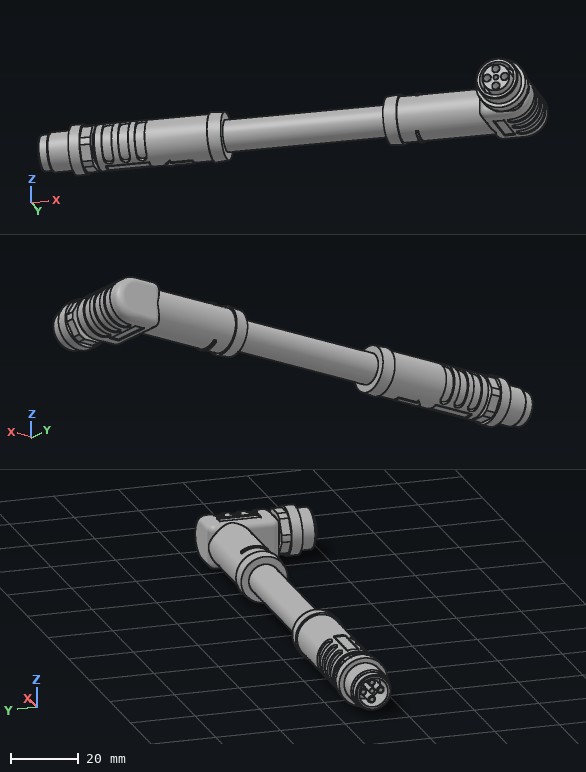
import cadquery as cq
import math


TOTAL_LENGTH = 153.5
TOTAL_WIDTH = 35.2
FLANGE_D = 15.0
NUT_D = 14.0
NUT_FLATS = 13.0
NECK_D = 9.7
CABLE_D = 9.7
MALE_SLEEVE_D = 14.0
FEMALE_SLEEVE_D = 13.8
EMBOSS_HEIGHT = 0.38

TIP_LENGTH = 2.8
THREAD_END = 9.8
MALE_FLANGE_END = 13.2
MALE_NUT_END = 16.5
MALE_SLEEVE_START = 17.3
MALE_COLLAR_START = 52.2
MALE_COLLAR_END = 56.3
TIP_D = 10.9
TIP_CHAMFER = 0.3
THREAD_CHAMFER = 0.5
MALE_THREAD_D = 12.0
MALE_BORE_D = 8.9
MALE_BORE_DEPTH = 7.7

CONTACT_RADIUS = 2.69
CENTRE_CONTACT_D = 1.5
PIN_D = 2.1
PIN_CHAMFER = 0.3
PIN_SETBACK = 1.5
SOCKET_D = 2.3
SOCKET_DEPTH = 4.6

COLLAR_D = 15.0
COLLAR_TAPER = 0.3

GRIP_WIDTH = 3.0
GRIP_PITCH = 5.0
GRIP_COUNT = 3
RECESS_DEPTH = 0.6
HOUSING_GRIP_DEPTH = 0.5
LABEL_DEPTH = 0.5
MALE_GRIP_START = 19.8
MALE_GRIP_TIP_Y = 2.9
MALE_LABEL_LENGTH = 13.2
MALE_LABEL_WIDTH = 3.5

FEMALE_X = TOTAL_LENGTH - FLANGE_D / 2
FEMALE_COLLAR_START = 105.9
FEMALE_COLLAR_END = 110.0
HOUSING_HALF = 7.0
HOUSING_LEFT = 137.0
HOUSING_BACK_Y = 7.0
HOUSING_FRONT_Y = -15.0
HOUSING_FILLET = 2.3
HOUSING_GRIP_TIP_X = 144.6
HOUSING_GRIP_FIRST_Y = 1.2
HOUSING_LABEL_LEFT = 140.5
HOUSING_LABEL_WIDTH = 3.2
HOUSING_LABEL_BACK_Y = 2.8
HOUSING_LABEL_LENGTH = 12.7

FEMALE_NUT_START = -16.0
FEMALE_FLANGE_START = -18.9
FEMALE_FLANGE_END = -22.3
FEMALE_RIM_END = -26.7
FEMALE_END = FLANGE_D / 2 - TOTAL_WIDTH
FEMALE_RIM_D = 12.7
FEMALE_BORE_D = 10.5
FEMALE_BORE_END = -21.5
INSERT_D = 8.3
RIM_CHAMFER = 0.3

BAND_X = 115.1
BAND_LENGTH = 0.8
BAND_WIDTH = 8.3
ARROW_TIP_X = 37.5
ARROW_END_X = 46.0
ARROW_HEAD_LENGTH = 2.0
ARROW_HALF_WIDTH = 2.0


def cylinder_x(start, end, diameter):
    return cq.Workplane("YZ", origin=(start, 0, 0)).circle(diameter / 2).extrude(end - start)


def cylinder_y(start, end, diameter, x=FEMALE_X, z=0):
    """Cylinder running from Y = start down to Y = end."""
    return cq.Workplane("XZ", origin=(x, start, z)).circle(diameter / 2).extrude(start - end)


def block(x0, x1, y0, y1, z0, z1):
    return cq.Workplane("XY").box(x1 - x0, y1 - y0, z1 - z0, centered=False).translate((x0, y0, z0))


def nut(plane, origin, length):
    """Hexagon with two flats facing +Z and -Z and its corners turned round."""
    across_corners = NUT_FLATS / math.cos(math.pi / 6)
    hexagon = cq.Workplane(plane, origin=origin).polygon(6, across_corners).extrude(length)
    if plane == "YZ":
        return hexagon.intersect(cylinder_x(origin[0], origin[0] + length, NUT_D))
    return hexagon.intersect(cylinder_y(origin[1], origin[1] - length, NUT_D))


def outer_contacts():
    """Offsets of the four contacts around the centre one."""
    quarter_turns = [i * math.pi / 2 for i in range(4)]
    return [(CONTACT_RADIUS * math.cos(a), CONTACT_RADIUS * math.sin(a)) for a in quarter_turns]


def collar(big_end, small_end):
    """Strain relief collar, slightly tapered towards the cable."""
    return (cq.Workplane("XY")
            .polyline([(big_end, 0), (big_end, COLLAR_D / 2),
                       (small_end, COLLAR_D / 2 - COLLAR_TAPER), (small_end, 0)])
            .close()
            .revolve(360, (0, 0, 0), (1, 0, 0)))


def grip_tool(tip_x, tip_y, angle, reach=12.3, height=18.4):
    """U-shaped prism along Z; its round tip touches (tip_x, tip_y) and it runs off at the angle."""
    r = GRIP_WIDTH / 2
    return (cq.Workplane("XY")
            .moveTo(reach, r)
            .lineTo(r, r)
            .threePointArc((0, 0), (r, -r))
            .lineTo(reach, -r)
            .close()
            .extrude(height / 2, both=True)
            .rotate((0, 0, 0), (0, 0, 1), angle)
            .translate((tip_x, tip_y, 0)))


def male_plug():
    tip = cylinder_x(0, TIP_LENGTH, TIP_D).faces("<X").chamfer(TIP_CHAMFER)
    thread = cylinder_x(TIP_LENGTH, THREAD_END, MALE_THREAD_D).faces("<X").chamfer(THREAD_CHAMFER)
    plug = (tip.union(thread)
            .union(cylinder_x(THREAD_END, MALE_FLANGE_END, FLANGE_D))
            .union(nut("YZ", (MALE_FLANGE_END, 0, 0), MALE_NUT_END - MALE_FLANGE_END))
            .union(cylinder_x(MALE_NUT_END, MALE_SLEEVE_START, NECK_D))
            .cut(cylinder_x(0, MALE_BORE_DEPTH, MALE_BORE_D)))
    pin_end = MALE_BORE_DEPTH + PIN_SETBACK
    pin = cylinder_x(PIN_SETBACK, pin_end, PIN_D).faces("<X").chamfer(PIN_CHAMFER)
    for y, z in outer_contacts():
        plug = plug.union(pin.translate((0, y, z)))
    return plug.union(cylinder_x(PIN_SETBACK, pin_end, CENTRE_CONTACT_D))


def male_sleeve():
    sleeve = cylinder_x(MALE_SLEEVE_START, MALE_COLLAR_START, MALE_SLEEVE_D)
    sleeve = sleeve.faces("<X").chamfer(TIP_CHAMFER)
    core = cylinder_x(MALE_SLEEVE_START, MALE_COLLAR_START, MALE_SLEEVE_D - 2 * RECESS_DEPTH)
    for i in range(GRIP_COUNT):
        grip_x = MALE_GRIP_START + GRIP_WIDTH / 2 + i * GRIP_PITCH
        for side in (1, -1):
            sleeve = sleeve.cut(grip_tool(grip_x, side * MALE_GRIP_TIP_Y, side * 90).cut(core))
    floor = MALE_SLEEVE_D / 2 - LABEL_DEPTH
    label = block(MALE_GRIP_START, MALE_GRIP_START + MALE_LABEL_LENGTH,
                  -MALE_LABEL_WIDTH / 2, MALE_LABEL_WIDTH / 2, floor, MALE_SLEEVE_D)
    return sleeve.cut(label).cut(label.mirror("XY")).union(arrow_mark())


def arrow_mark():
    """Raised arrow head and bar on the underside of the male sleeve."""
    neck_x = ARROW_TIP_X + ARROW_HEAD_LENGTH
    bar = ARROW_HALF_WIDTH / 2
    outline = [(ARROW_TIP_X, 0), (neck_x, ARROW_HALF_WIDTH), (neck_x, bar), (ARROW_END_X, bar),
               (ARROW_END_X, -bar), (neck_x, -bar), (neck_x, -ARROW_HALF_WIDTH)]
    prism = cq.Workplane("XY").polyline(outline).close().extrude(-MALE_SLEEVE_D)
    return prism.intersect(cylinder_x(ARROW_TIP_X, ARROW_END_X, MALE_SLEEVE_D + 2 * EMBOSS_HEIGHT))


def round_ended_block(half, front, back):
    """Housing block with its +X end rounded about the female plug axis."""
    left = HOUSING_LEFT + HOUSING_HALF - half
    return (cq.Workplane("XZ", origin=(0, back, 0))
            .moveTo(left, half)
            .lineTo(FEMALE_X, half)
            .threePointArc((FEMALE_X + half, 0), (FEMALE_X, -half))
            .lineTo(left, -half)
            .close()
            .extrude(back - front))


def housing():
    shell = round_ended_block(HOUSING_HALF, HOUSING_FRONT_Y, HOUSING_BACK_Y)
    shell = shell.edges("|Y and <X").fillet(HOUSING_FILLET)
    shell = shell.faces("<Y or >Y").edges().fillet(HOUSING_FILLET)
    core = round_ended_block(HOUSING_HALF - HOUSING_GRIP_DEPTH, HOUSING_FRONT_Y, HOUSING_BACK_Y)
    for i in range(GRIP_COUNT):
        grip_y = HOUSING_GRIP_FIRST_Y - i * GRIP_PITCH
        shell = shell.cut(grip_tool(HOUSING_GRIP_TIP_X, grip_y, 0).cut(core))
    label = block(HOUSING_LABEL_LEFT, HOUSING_LABEL_LEFT + HOUSING_LABEL_WIDTH,
                  HOUSING_LABEL_BACK_Y - HOUSING_LABEL_LENGTH, HOUSING_LABEL_BACK_Y,
                  HOUSING_HALF - LABEL_DEPTH, 2 * HOUSING_HALF)
    return shell.cut(label).cut(label.mirror("XY"))


def female_sleeve():
    sleeve = cylinder_x(FEMALE_COLLAR_END, HOUSING_LEFT + HOUSING_FILLET, FEMALE_SLEEVE_D)
    band_end = BAND_X + BAND_LENGTH
    band = cylinder_x(BAND_X, band_end, FEMALE_SLEEVE_D + 2 * EMBOSS_HEIGHT).intersect(
        block(BAND_X, band_end, -BAND_WIDTH / 2, BAND_WIDTH / 2, -FEMALE_SLEEVE_D, FEMALE_SLEEVE_D))
    return sleeve.union(band)


def female_plug():
    rim = cylinder_y(FEMALE_FLANGE_END, FEMALE_RIM_END, FEMALE_RIM_D).faces("<Y").chamfer(RIM_CHAMFER)
    plug = (cylinder_y(HOUSING_FRONT_Y, FEMALE_NUT_START, NECK_D)
            .union(nut("XZ", (FEMALE_X, FEMALE_NUT_START, 0), FEMALE_NUT_START - FEMALE_FLANGE_START))
            .union(cylinder_y(FEMALE_FLANGE_START, FEMALE_FLANGE_END, FLANGE_D))
            .union(rim)
            .cut(cylinder_y(FEMALE_BORE_END, FEMALE_RIM_END, FEMALE_BORE_D))
            .union(cylinder_y(FEMALE_BORE_END, FEMALE_END, INSERT_D)))
    socket_floor = FEMALE_END + SOCKET_DEPTH
    for x, z in outer_contacts():
        plug = plug.cut(cylinder_y(socket_floor, FEMALE_END, SOCKET_D, FEMALE_X + x, z))
    plug = plug.cut(cylinder_y(socket_floor, FEMALE_END, CENTRE_CONTACT_D))
    return plug.union(seal_ring())


def seal_ring():
    """Round seal half sunk into the floor of the groove between insert and rim."""
    major = (FEMALE_BORE_D + INSERT_D) / 4
    minor = (FEMALE_BORE_D - INSERT_D) / 4
    axis_point = cq.Vector(FEMALE_X, FEMALE_BORE_END, 0)
    return cq.Workplane(cq.Solid.makeTorus(major, minor, axis_point, cq.Vector(0, 1, 0)))


cable = cylinder_x(MALE_COLLAR_START, FEMALE_COLLAR_END, CABLE_D)

result = (male_plug()
          .union(male_sleeve())
          .union(collar(MALE_COLLAR_START, MALE_COLLAR_END))
          .union(cable)
          .union(collar(FEMALE_COLLAR_END, FEMALE_COLLAR_START))
          .union(female_sleeve())
          .union(housing())
          .union(female_plug()))